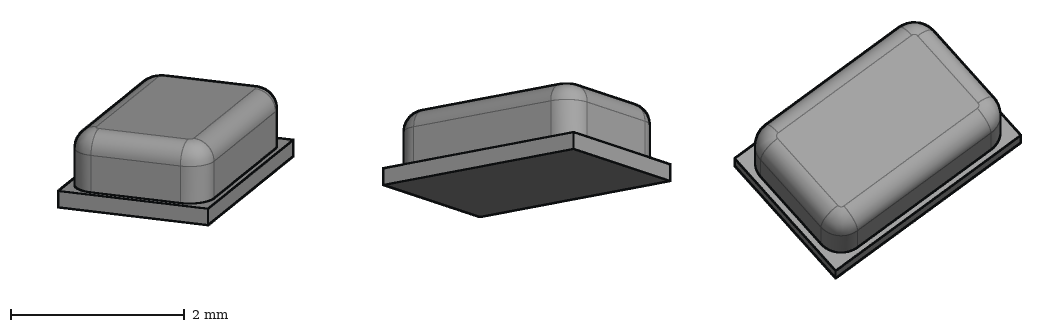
import cadquery as cq

base_width = 1.85
base_length = 2.75
base_thickness = 0.2

total_height = 0.9
side_margin = 0.075
end_margin = 0.085
lid_corner_radius = 0.3
lid_top_fillet = 0.25

lid_width = base_width - 2 * side_margin
lid_length = base_length - 2 * end_margin
lid_height = total_height - base_thickness


def make_base():
    """Rectangular plate with its underside at Z = 0."""
    return cq.Workplane("XY").box(
        base_width, base_length, base_thickness, centered=(True, True, False)
    )


def make_lid():
    """Solid lid with rounded vertical corners and a filleted top rim."""
    block = cq.Workplane("XY", origin=(0, 0, base_thickness)).box(
        lid_width, lid_length, lid_height, centered=(True, True, False)
    )
    rounded = block.edges("|Z").fillet(lid_corner_radius)
    return rounded.faces(">Z").edges().fillet(lid_top_fillet)


result = make_base().union(make_lid())